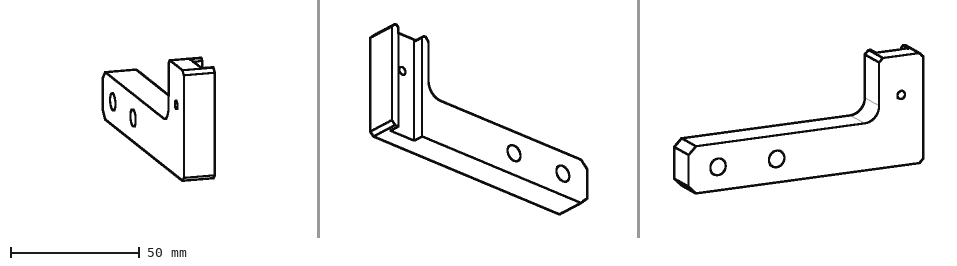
import cadquery as cq

length = 101.6
thickness = 12.7
height = 44.5
arm_width = 19.1

tip_chamfer = 3.1
corner_chamfer = 1.6
inner_radius = 6.3

mount_hole_diameter = 6.7
mount_hole_spacing = 25.4
first_hole_x = mount_hole_spacing / 2
small_hole_diameter = 3.3
small_hole_z = 28.5

channel_width = 12.4
channel_depth = 4.7
mouth_chamfer = 0.9

upright_left = length - arm_width
upright_center = length - arm_width / 2


def make_body():
    """L-shaped plate with its front face on Y = 0 and its back face on Y = thickness."""
    outline = (
        cq.Workplane("XZ")
        .moveTo(tip_chamfer, 0)
        .lineTo(length - corner_chamfer, 0)
        .lineTo(length, corner_chamfer)
        .lineTo(length, height - corner_chamfer)
        .lineTo(length - corner_chamfer, height)
        .lineTo(upright_left + corner_chamfer, height)
        .lineTo(upright_left, height - corner_chamfer)
        .lineTo(upright_left, arm_width + inner_radius)
        .radiusArc((upright_left - inner_radius, arm_width), inner_radius)
        .lineTo(tip_chamfer, arm_width)
        .lineTo(0, arm_width - tip_chamfer)
        .lineTo(0, tip_chamfer)
        .close()
    )
    return outline.extrude(-thickness)


def make_hole(x, z, diameter):
    """Cylinder through the full thickness."""
    return cq.Workplane("XZ").center(x, z).circle(diameter / 2).extrude(-thickness)


def make_channel():
    """Straight channel that flares at its top mouth."""
    half_width = channel_width / 2
    half_mouth = half_width + mouth_chamfer
    profile = [
        (-half_width, 0),
        (half_width, 0),
        (half_width, height - mouth_chamfer),
        (half_mouth, height),
        (-half_mouth, height),
        (-half_width, height - mouth_chamfer),
    ]
    return (
        cq.Workplane("XZ", origin=(upright_center, thickness, 0))
        .polyline(profile)
        .close()
        .extrude(channel_depth)
    )


result = make_body().cut(make_channel())
for hole_x in (first_hole_x, first_hole_x + mount_hole_spacing):
    result = result.cut(make_hole(hole_x, arm_width / 2, mount_hole_diameter))
result = result.cut(make_hole(upright_center, small_hole_z, small_hole_diameter))